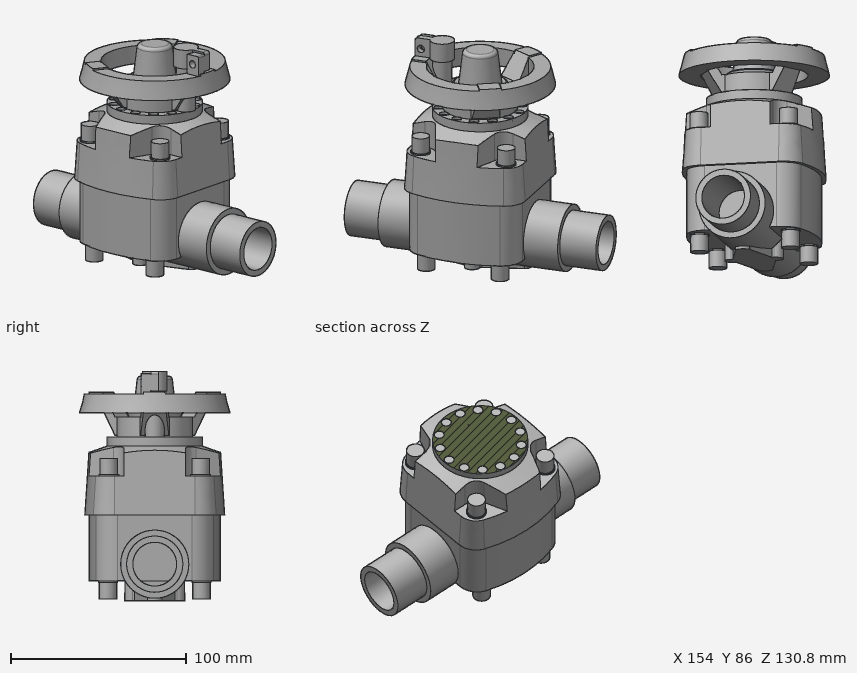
import cadquery as cq
import math


pipe_half_length = 77.0
spigot_radius = 16.0
socket_radius = 19.4
socket_half_length = 55.0
bore_radius = 12.5
centre_wall = 6.2

corner_radius = 13.0
body_half_x = 34.0
body_half_y = 37.4
body_bulge_radius = 80.1
body_bottom = -9.5
body_top = 27.9
bonnet_lip = 2.5
bonnet_draft = 3.7
bonnet_edge_height = 63.8
bonnet_crown = 67.3
collar_radius = 27.3
collar_top = 72.5

ledge_height = 50.2
pocket_radius = 9.5
pocket_centre = 27.0
pocket_wall_lean = 21.0

bolt_radius = 5.1
washer_height = 0.8
upper_washer_radius = 5.7
lower_washer_radius = 5.5
upper_bolt_x = 26.2
upper_bolt_y = 26.2
upper_bolt_top = 60.2
lower_bolt_x = 22.6
lower_bolt_y = 26.6
lower_bolt_bottom = -19.9

foot_bottom = -21.0
foot_post_radius = 4.5
foot_half_x = 31.4
foot_half_y = 17.1
foot_web_half_y = 12.8
foot_web_end_x = 28.6
foot_web_end_y = 4.2

index_hole_count = 14
index_hole_radius = 2.8
index_hole_circle = 23.7
index_hole_depth = 1.5

hub_radius = 21.5
hub_top = 84.0
rim_bottom = 86.2
rim_top = 97.0
rim_inner_radius = 30.6
rim_bottom_radius = 43.0
rim_top_radius = 40.2
spoke_count = 3
spoke_bottom = 73.3
spoke_top = 98.0
spoke_root_radius = 18.5
spoke_root_half_width = 8.6
spoke_rim_half_width = 6.3
spoke_lower_radius = 29.5
spoke_end_radius = 33.9

flange_lower_radius = 15.1
flange_radius = 15.7
flange_top_radius = 14.6
flange_widest = 86.7
flange_top = 87.5
knob_base_radius = 12.3
knob_top_radius = 9.9
knob_top = 107.2
knob_rounding = 2.3

pin_x = 23.3
pin_radius = 5.5
pin_head_radius = 7.1
pin_head_bottom = 98.7
pin_head_top = 109.8
tongue_half_y = 2.2
tongue_end_x = 39.1
tongue_rounding = 1.5
block_start_x = 30.6
block_rounding = 0.8
block_front_y = -7.7
block_top = 108.7
lock_hole_radius = 2.2
lock_hole_z = 103.3
block_hole_x = 34.6
tongue_hole_x = 35.5


def cylinder(x, y, bottom, top, radius):
    """Upright cylinder between two heights."""
    return cq.Workplane("XY", origin=(x, y, bottom)).circle(radius).extrude(top - bottom)


def pipe_cylinder(radius, half_length):
    """Cylinder along the pipe axis, centred on the valve."""
    return cq.Workplane("YZ").circle(radius).extrude(half_length, both=True)


def box(x_range, y_range, z_range):
    """Block between pairs of limits along each axis."""
    size = [high - low for low, high in (x_range, y_range, z_range)]
    corner = (x_range[0], y_range[0], z_range[0])
    return cq.Workplane("XY", origin=corner).box(*size, centered=False)


def bulged_outline(half_x, half_y, bulge_radius, height):
    """Flat sides along Y, bulging front and back, with tangent corner arcs."""
    bulge_y = half_y - bulge_radius
    corner_x = half_x - corner_radius
    reach = bulge_radius - corner_radius
    corner_y = bulge_y + math.sqrt(reach**2 - corner_x**2)
    tangent_angle = math.atan2(corner_y - bulge_y, corner_x)
    seam_x = bulge_radius * math.cos(tangent_angle)
    seam_y = bulge_y + bulge_radius * math.sin(tangent_angle)
    mid_x = corner_x + corner_radius * math.cos(tangent_angle / 2)
    mid_y = corner_y + corner_radius * math.sin(tangent_angle / 2)
    return (
        cq.Workplane("XY", origin=(0, 0, height))
        .moveTo(half_x, -corner_y)
        .lineTo(half_x, corner_y)
        .threePointArc((mid_x, mid_y), (seam_x, seam_y))
        .threePointArc((0, half_y), (-seam_x, seam_y))
        .threePointArc((-mid_x, mid_y), (-half_x, corner_y))
        .lineTo(-half_x, -corner_y)
        .threePointArc((-mid_x, -mid_y), (-seam_x, -seam_y))
        .threePointArc((0, -half_y), (seam_x, -seam_y))
        .threePointArc((mid_x, -mid_y), (half_x, -corner_y))
        .close()
    )


def revolved(profile):
    """Solid of revolution about Z from (radius, height) points."""
    return cq.Workplane("XZ").polyline(profile).close().revolve(360, (0, 0, 0), (0, 1, 0))


def in_four_corners(shape):
    """Union of a shape with its mirror images across the XZ and YZ planes."""
    pair = shape.union(shape.mirror("YZ"))
    return pair.union(pair.mirror("XZ"))


def make_corner_pocket():
    """Corner pocket: one wall along X, a round back and one leaning wall."""
    far = 2 * body_half_y
    straight_wall_y = pocket_centre - pocket_radius
    lean = math.radians(pocket_wall_lean)
    end_angle = math.pi + lean
    mid_angle = (end_angle + 1.5 * math.pi) / 2
    arc_mid, arc_end = [
        (pocket_centre + pocket_radius * math.cos(angle), pocket_centre + pocket_radius * math.sin(angle))
        for angle in (mid_angle, end_angle)
    ]
    wall_end_x = arc_end[0] - (far - arc_end[1]) * math.tan(lean)
    return (
        cq.Workplane("XY", origin=(0, 0, ledge_height))
        .moveTo(far, straight_wall_y)
        .lineTo(pocket_centre, straight_wall_y)
        .threePointArc(arc_mid, arc_end)
        .lineTo(wall_end_x, far)
        .lineTo(far, far)
        .close()
        .extrude(collar_top - ledge_height)
    )


def make_bonnet():
    """Drafted bonnet with a conical top, corner pockets and the collar."""
    blank = bulged_outline(
        body_half_x + bonnet_lip, body_half_y + bonnet_lip, body_bulge_radius + bonnet_lip, body_top
    ).extrude(collar_top - body_top, taper=bonnet_draft)
    edge_slope = (bonnet_crown - bonnet_edge_height) / (body_half_y - collar_radius)
    outer_radius = 2 * body_half_y
    outer_height = bonnet_crown - edge_slope * (outer_radius - collar_radius)
    roof = revolved([
        (0, body_top),
        (outer_radius, body_top),
        (outer_radius, outer_height),
        (collar_radius, bonnet_crown),
        (0, bonnet_crown),
    ])
    collar = cylinder(0, 0, ledge_height, collar_top, collar_radius)
    index_holes = (
        cq.Workplane("XY", origin=(0, 0, collar_top))
        .polarArray(index_hole_circle, 0, 360, index_hole_count)
        .circle(index_hole_radius)
        .extrude(-index_hole_depth)
    )
    pockets = in_four_corners(make_corner_pocket())
    return blank.intersect(roof).cut(pockets).union(collar.cut(pockets)).cut(index_holes)


def make_bolts():
    """Bolt ends above the bonnet ledges and below the body, on washers."""
    upper_washer_top = ledge_height + washer_height
    upper = cylinder(upper_bolt_x, upper_bolt_y, ledge_height, upper_bolt_top, bolt_radius)
    upper = upper.union(
        cylinder(upper_bolt_x, upper_bolt_y, ledge_height, upper_washer_top, upper_washer_radius)
    )
    lower_washer_bottom = body_bottom - washer_height
    lower = cylinder(lower_bolt_x, lower_bolt_y, lower_bolt_bottom, body_bottom, bolt_radius)
    lower = lower.union(
        cylinder(lower_bolt_x, lower_bolt_y, lower_washer_bottom, body_bottom, lower_washer_radius)
    )
    return in_four_corners(upper).union(in_four_corners(lower))


def make_foot():
    """Tapering web with a round post at each of its four tips."""
    height = body_bottom - foot_bottom
    post_x = foot_half_x - foot_post_radius
    post_y = foot_half_y - foot_post_radius
    web = (
        cq.Workplane("XY", origin=(0, 0, foot_bottom))
        .polyline([
            (0, foot_web_half_y),
            (foot_web_end_x, foot_web_end_y),
            (foot_web_end_x, -foot_web_end_y),
            (0, -foot_web_half_y),
            (-foot_web_end_x, -foot_web_end_y),
            (-foot_web_end_x, foot_web_end_y),
        ])
        .close()
        .extrude(height)
    )
    posts = (
        cq.Workplane("XY", origin=(0, 0, foot_bottom))
        .pushPoints([(post_x, 0), (-post_x, 0), (0, post_y), (0, -post_y)])
        .circle(foot_post_radius)
        .extrude(height)
    )
    crossing = box(
        (-foot_post_radius, foot_post_radius), (-post_y, post_y), (foot_bottom, body_bottom)
    )
    return web.union(posts).union(crossing)


def make_lower_valve():
    """Pipe, body and foot, with a blind bore entering from each end."""
    solid = pipe_cylinder(spigot_radius, pipe_half_length)
    solid = solid.union(pipe_cylinder(socket_radius, socket_half_length))
    body = bulged_outline(body_half_x, body_half_y, body_bulge_radius, body_bottom)
    body = body.extrude(body_top - body_bottom)
    solid = solid.union(make_foot()).union(body)
    centre = pipe_cylinder(socket_radius, centre_wall / 2)
    bores = pipe_cylinder(bore_radius, pipe_half_length).cut(body).cut(centre)
    return solid.cut(bores)


def at_each_spoke(shape):
    """Union of copies of a shape at every spoke position."""
    copies = shape
    for index in range(1, spoke_count):
        copies = copies.union(shape.rotate((0, 0, 0), (0, 0, 1), index * 360 / spoke_count))
    return copies


def make_rim():
    """Ring with a conical outer side and a slightly raised pad at each spoke."""
    side_slope = (rim_bottom_radius - rim_top_radius) / (rim_top - rim_bottom)
    pad_outer_radius = rim_top_radius - side_slope * (spoke_top - rim_top)
    ring = revolved([
        (rim_inner_radius, rim_bottom),
        (rim_bottom_radius, rim_bottom),
        (pad_outer_radius, spoke_top),
        (rim_inner_radius, spoke_top),
    ])
    pads = at_each_spoke(box(
        (rim_inner_radius, rim_bottom_radius),
        (-spoke_rim_half_width, spoke_rim_half_width),
        (rim_top, spoke_top),
    ))
    between_pads = cylinder(0, 0, rim_top, spoke_top, rim_bottom_radius).cut(pads)
    return ring.cut(between_pads)


def make_spoke():
    """Spoke along +X that narrows as it climbs from the hub and laps over the rim."""
    side = (
        cq.Workplane("XZ")
        .polyline([
            (spoke_root_radius, spoke_bottom),
            (hub_radius, spoke_bottom),
            (spoke_lower_radius, rim_bottom),
            (spoke_end_radius, rim_bottom),
            (spoke_end_radius, spoke_top),
            (rim_inner_radius, spoke_top),
            (hub_radius, hub_top),
            (spoke_root_radius, hub_top),
        ])
        .close()
        .extrude(spoke_root_half_width, both=True)
    )
    plan = (
        cq.Workplane("XY", origin=(0, 0, spoke_bottom))
        .polyline([
            (spoke_root_radius, -spoke_root_half_width),
            (rim_inner_radius, -spoke_rim_half_width),
            (spoke_end_radius, -spoke_rim_half_width),
            (spoke_end_radius, spoke_rim_half_width),
            (rim_inner_radius, spoke_rim_half_width),
            (spoke_root_radius, spoke_root_half_width),
        ])
        .close()
        .extrude(spoke_top - spoke_bottom)
    )
    return side.intersect(plan)


def make_handwheel():
    """Hub, rim and the spokes that join them."""
    hub = cylinder(0, 0, collar_top, hub_top, hub_radius)
    return hub.union(make_rim()).union(at_each_spoke(make_spoke()))


def make_knob():
    """Flanged spindle collar carrying the tapered, rounded knob."""
    flange = revolved([
        (0, hub_top),
        (flange_lower_radius, hub_top),
        (flange_radius, flange_widest),
        (flange_top_radius, flange_top),
        (0, flange_top),
    ])
    knob = revolved([
        (0, flange_top),
        (knob_base_radius, flange_top),
        (knob_top_radius, knob_top),
        (0, knob_top),
    ])
    return flange.union(knob.faces(">Z").edges().fillet(knob_rounding))


def lock_hole(x):
    """Drill along Y for the padlock shackle."""
    return (
        cq.Workplane("XZ", origin=(x, 0, lock_hole_z))
        .circle(lock_hole_radius)
        .extrude(-block_front_y, both=True)
    )


def make_locking_pin():
    """Headed pin beside the knob, with a tongue held by the padlock block."""
    pin = cylinder(pin_x, 0, collar_top, pin_head_top, pin_radius)
    pin = pin.union(cylinder(pin_x, 0, pin_head_bottom, pin_head_top, pin_head_radius))
    tongue = box(
        (pin_x, tongue_end_x), (-tongue_half_y, tongue_half_y), (pin_head_bottom, pin_head_top)
    )
    tongue = tongue.edges(">X and >Z").fillet(tongue_rounding)
    block = box((block_start_x, tongue_end_x), (block_front_y, -tongue_half_y), (rim_top, block_top))
    block = block.faces(">Z").edges("|Y").fillet(block_rounding)
    tongue = tongue.cut(lock_hole(tongue_hole_x))
    block = block.cut(lock_hole(block_hole_x))
    return pin.union(tongue).union(block)


result = (
    make_lower_valve()
    .union(make_bonnet())
    .union(make_bolts())
    .union(make_handwheel())
    .union(make_knob())
    .union(make_locking_pin())
)